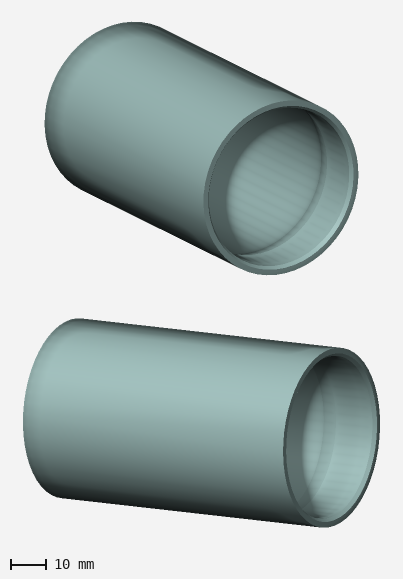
import cadquery as cq

length = 86.5
outer_diameter = 50.8
land_diameter = 46.0
relief_diameter = 47.75
mouth_diameter = 47.6
chamfer_length = 1.0
land_length = 12.1
taper_length = 4.6

half_length = length / 2
land_start = half_length - chamfer_length
land_end = land_start - land_length
taper_end = land_end - taper_length

wall_profile = [
    (-half_length, outer_diameter / 2),
    (-half_length, mouth_diameter / 2),
    (-land_start, land_diameter / 2),
    (-land_end, land_diameter / 2),
    (-taper_end, relief_diameter / 2),
    (taper_end, relief_diameter / 2),
    (land_end, land_diameter / 2),
    (land_start, land_diameter / 2),
    (half_length, mouth_diameter / 2),
    (half_length, outer_diameter / 2),
]

result = (
    cq.Workplane("XZ")
    .polyline(wall_profile)
    .close()
    .revolve(360, (0, 0, 0), (1, 0, 0))
)